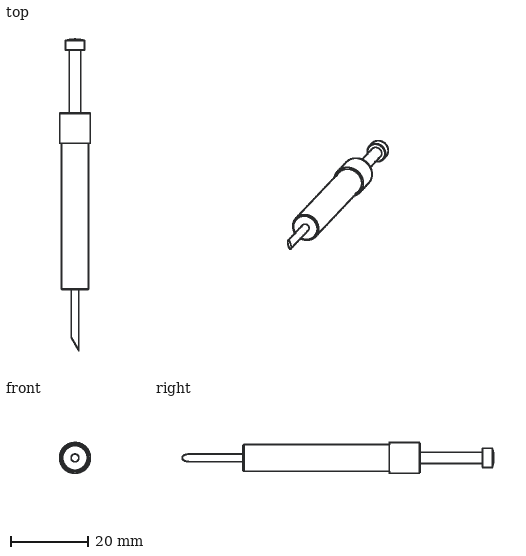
import cadquery as cq
import math

total_length = 80.8
head_diameter = 5.0
head_length = 3.0
head_dome_height = 0.4
head_edge_chamfer = 0.2
shaft_diameter = 3.0
plunger_length = 19.1
collar_diameter = 8.0
collar_length = 8.0
body_diameter = 7.0
edge_chamfer = 0.3
needle_diameter = 2.0
needle_length = 15.75
tip_angle = 30.0

tip_y = -total_length / 2
head_top_y = total_length / 2
head_bottom_y = head_top_y - head_length
collar_top_y = head_top_y - plunger_length
collar_bottom_y = collar_top_y - collar_length
body_end_y = tip_y + needle_length


def cylinder(diameter, start_y, end_y):
    """Solid cylinder on the Y axis between two places."""
    plane = cq.Workplane("XZ", origin=(0, end_y, 0))
    return plane.circle(diameter / 2).extrude(end_y - start_y)


def make_head():
    """Button head with a shallow domed top and a chamfered underside."""
    radius = head_diameter / 2
    rim_y = head_top_y - head_dome_height
    dome_radius = (radius**2 + head_dome_height**2) / (2 * head_dome_height)
    mid_x = radius / 2
    mid_y = head_top_y - dome_radius + math.sqrt(dome_radius**2 - mid_x**2)
    profile = (
        cq.Workplane("XY")
        .moveTo(0, head_bottom_y)
        .lineTo(radius - head_edge_chamfer, head_bottom_y)
        .lineTo(radius, head_bottom_y + head_edge_chamfer)
        .lineTo(radius, rim_y)
        .threePointArc((mid_x, mid_y), (0, head_top_y))
        .close()
    )
    return profile.revolve(360, (0, 0, 0), (0, 1, 0))


def make_needle():
    """Thin rod whose end is cut by a slanted plane, leaving the point on +X."""
    radius = needle_diameter / 2
    tip_cut_length = needle_diameter / math.tan(math.radians(tip_angle))
    rod = cylinder(needle_diameter, tip_y, body_end_y)
    waste = (
        cq.Workplane("XY")
        .moveTo(-radius, tip_y + tip_cut_length)
        .lineTo(radius, tip_y)
        .lineTo(-radius, tip_y)
        .close()
        .extrude(radius, both=True)
    )
    return rod.cut(waste)


shaft = cylinder(shaft_diameter, collar_top_y, head_bottom_y)
collar = cylinder(collar_diameter, collar_bottom_y, collar_top_y).faces(">Y").chamfer(edge_chamfer)
body = cylinder(body_diameter, body_end_y, collar_bottom_y).faces("<Y").chamfer(edge_chamfer)

result = make_head().union(shaft).union(collar).union(body).union(make_needle())